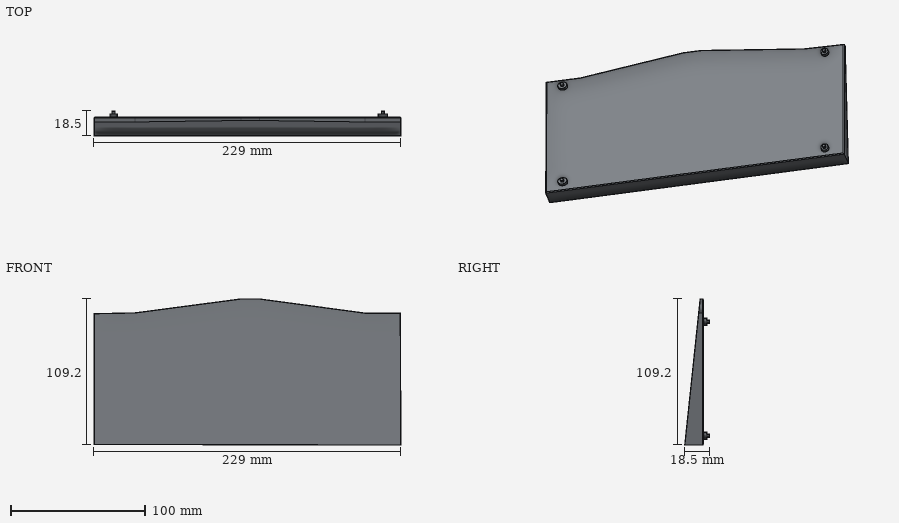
import cadquery as cq

panel_width = 229.04
panel_height = 109.19
overall_depth = 18.46
foot_depth = 14.1
crest_depth = 2.6
back_edge_chamfer = 0.7

crest_x = 2.0
crest_half_width = 6.9
slope_half_span = 85.8
shoulder_drop = 10.6
left_foot_rise = 0.2
left_shoulder_fall = 0.6
bottom_rise = 0.5
right_edge_lean = 0.45

left_stud_x = -100.0
right_stud_x = 101.0
stud_z = (7.0, 92.1)
collar_diameter = 5.61
wide_collar_width = 7.13
collar_length = 2.4
pin_diameter = 2.4
stud_length = overall_depth - foot_depth


def make_panel():
    """Tapered panel: flat upright back, sloping front, crested top edge."""
    left = -panel_width / 2
    right = panel_width / 2
    shoulder_z = panel_height - shoulder_drop
    left_foot_z = shoulder_z + left_foot_rise
    face = (
        cq.Workplane("XZ")
        .moveTo(left, bottom_rise)
        .lineTo(right, 0)
        .lineTo(right - right_edge_lean, shoulder_z)
        .lineTo(crest_x + slope_half_span, shoulder_z)
        .lineTo(crest_x + crest_half_width, panel_height)
        .lineTo(crest_x - crest_half_width, panel_height)
        .lineTo(crest_x - slope_half_span, left_foot_z)
        .lineTo(left, left_foot_z - left_shoulder_fall)
        .close()
        .extrude(foot_depth)
        .faces(">Y")
        .chamfer(back_edge_chamfer)
    )
    wedge = (
        cq.Workplane("YZ")
        .polyline([(0, 0), (-foot_depth, 0), (-crest_depth, panel_height), (0, panel_height)])
        .close()
        .extrude(right, both=True)
    )
    return face.intersect(wedge)


def make_stud(x, z, collar_width):
    """Collar with a thinner pin, standing on the back face."""
    back = cq.Workplane("XZ", origin=(x, 0, z))
    if collar_width == collar_diameter:
        collar_outline = back.circle(collar_diameter / 2)
    else:
        collar_outline = back.ellipse(collar_width / 2, collar_diameter / 2)
    collar = collar_outline.extrude(-collar_length)
    pin = back.circle(pin_diameter / 2).extrude(-stud_length)
    return collar.union(pin)


result = make_panel()
for z in stud_z:
    result = result.union(make_stud(left_stud_x, z, collar_diameter))
    result = result.union(make_stud(right_stud_x, z, wide_collar_width))